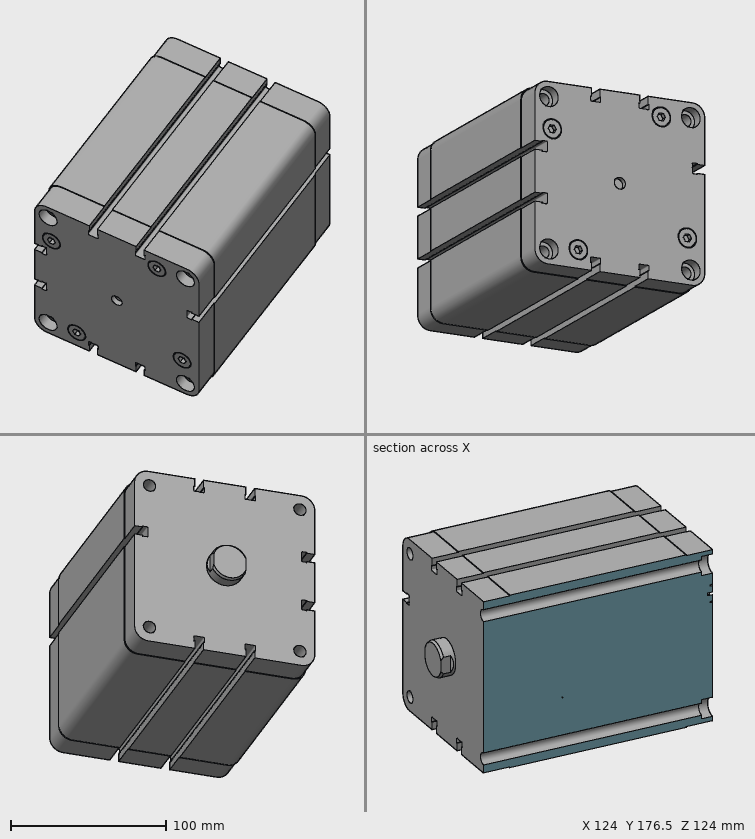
import cadquery as cq

TOTAL_LENGTH = 176.5
ROD_LENGTH = 10.0
CAP_LENGTH = 19.0
BODY_LENGTH = TOTAL_LENGTH - ROD_LENGTH
TUBE_LENGTH = BODY_LENGTH - 2 * CAP_LENGTH
TUBE_WIDTH = 124.0
CAP_WIDTH = 123.0
CORNER_RADIUS = 9.2

REAR_Y = -TOTAL_LENGTH / 2
FRONT_Y = REAR_Y + BODY_LENGTH
ROD_TIP_Y = FRONT_Y + ROD_LENGTH

SLOT_OFFSET = 17.5
SLOT_MOUTH_WIDTH = 6.0
SLOT_FOOT_WIDTH = 7.2
SLOT_DEPTH = 9.5
SLOT_LIP = 6.0
SLOT_FOOT_RADIUS = 0.7

MOUNT_OFFSET = 51.4
MOUNT_HOLE_DIAMETER = 8.3
MOUNT_BORE_DIAMETER = 13.5
MOUNT_BORE_DEPTH = 8.0

SCREW_NEAR = 30.0
SCREW_FAR = 48.9
SCREW_BORE_DIAMETER = 13.5
SCREW_HEAD_DIAMETER = 12.5
SCREW_GAP_DEPTH = 1.8
SOCKET_ACROSS_CORNERS = 5.8
SOCKET_DEPTH = 3.5

CENTRE_HOLE_DIAMETER = 8.0
CENTRE_HOLE_DEPTH = 3.9

ROD_DIAMETER = 25.0
ROD_ACROSS_FLATS = 22.0
ROD_FLAT_LENGTH = 7.0
ROD_TIP_LENGTH = 2.0
ROD_TIP_STEP = 0.9


def plane_at(y):
    """Workplane across the cylinder axis with its normal toward +Y; local x is -X, local y is Z."""
    return cq.Workplane(cq.Plane(origin=(0, y, 0), xDir=(-1, 0, 0), normal=(0, 1, 0)))


def square_block(width, start_y, length):
    """Square bar along Y with rounded long edges."""
    bar = plane_at(start_y).rect(width, width).extrude(length)
    return bar.edges("|Y").fillet(CORNER_RADIUS)


def main_body():
    """Slightly wider tube between two end caps."""
    rear_cap = square_block(CAP_WIDTH, REAR_Y, CAP_LENGTH)
    tube = square_block(TUBE_WIDTH, REAR_Y + CAP_LENGTH, TUBE_LENGTH)
    front_cap = square_block(CAP_WIDTH, FRONT_Y - CAP_LENGTH, CAP_LENGTH)
    return rear_cap.union(tube).union(front_cap)


def piston_rod():
    """Rod end, rooted inside the front cap, with flats on its -X and +X sides."""
    rod_radius = ROD_DIAMETER / 2
    flat_distance = ROD_ACROSS_FLATS / 2
    root_y = FRONT_Y - CAP_LENGTH
    rod = (
        cq.Workplane("XY")
        .moveTo(0, root_y)
        .lineTo(rod_radius, root_y)
        .lineTo(rod_radius, ROD_TIP_Y - ROD_TIP_LENGTH)
        .lineTo(rod_radius - ROD_TIP_STEP, ROD_TIP_Y)
        .lineTo(0, ROD_TIP_Y)
        .close()
        .revolve(360, (0, 0), (0, 1))
    )
    flat_end_y = ROD_TIP_Y - ROD_FLAT_LENGTH
    ramp_end_y = flat_end_y - (rod_radius - flat_distance)
    flat_cut = (
        cq.Workplane("XY")
        .moveTo(flat_distance, ROD_TIP_Y)
        .lineTo(flat_distance, flat_end_y)
        .lineTo(rod_radius, ramp_end_y)
        .lineTo(rod_radius, ROD_TIP_Y)
        .close()
        .extrude(rod_radius, both=True)
    )
    return rod.cut(flat_cut).cut(flat_cut.mirror("YZ"))


def sensor_slot(side, turn):
    """Slot opening to +Z on one side of the middle, then turned about the Y axis by some degrees."""
    top = TUBE_WIDTH / 2
    foot_height = SLOT_DEPTH - SLOT_LIP
    mouth = cq.Workplane().box(SLOT_MOUTH_WIDTH, TOTAL_LENGTH, SLOT_LIP)
    mouth = mouth.translate((0, 0, top - SLOT_LIP / 2))
    foot = cq.Workplane().box(SLOT_FOOT_WIDTH, TOTAL_LENGTH, foot_height)
    foot = foot.faces("<Z").edges("|Y").fillet(SLOT_FOOT_RADIUS)
    foot = foot.translate((0, 0, top - SLOT_LIP - foot_height / 2))
    slot = mouth.union(foot).translate((side * SLOT_OFFSET, 0, 0))
    return slot.rotate((0, 0, 0), (0, 1, 0), turn)


def rear_holes(points, diameter, depth):
    """Round cutters going into the body from its rear face."""
    return plane_at(REAR_Y).pushPoints(points).circle(diameter / 2).extrude(depth)


result = main_body().union(piston_rod())

slots_by_turn = {0: (-1, 1), 90: (-1,), 180: (-1, 1), 270: (-1, 1)}
for turn, sides in slots_by_turn.items():
    for side in sides:
        result = result.cut(sensor_slot(side, turn))

mount_points = [(x * MOUNT_OFFSET, z * MOUNT_OFFSET) for x in (-1, 1) for z in (-1, 1)]
result = result.cut(rear_holes(mount_points, MOUNT_HOLE_DIAMETER, BODY_LENGTH))
result = result.cut(rear_holes(mount_points, MOUNT_BORE_DIAMETER, MOUNT_BORE_DEPTH))

screw_points = [
    (SCREW_FAR, SCREW_NEAR),
    (-SCREW_NEAR, SCREW_FAR),
    (-SCREW_FAR, -SCREW_NEAR),
    (SCREW_NEAR, -SCREW_FAR),
]
screw_bores = rear_holes(screw_points, SCREW_BORE_DIAMETER, SCREW_GAP_DEPTH)
screw_heads = rear_holes(screw_points, SCREW_HEAD_DIAMETER, SCREW_GAP_DEPTH)
sockets = plane_at(REAR_Y).pushPoints(screw_points).polygon(6, SOCKET_ACROSS_CORNERS).extrude(SOCKET_DEPTH)
result = result.cut(screw_bores.cut(screw_heads)).cut(sockets)

result = result.cut(rear_holes([(0, 0)], CENTRE_HOLE_DIAMETER, CENTRE_HOLE_DEPTH))